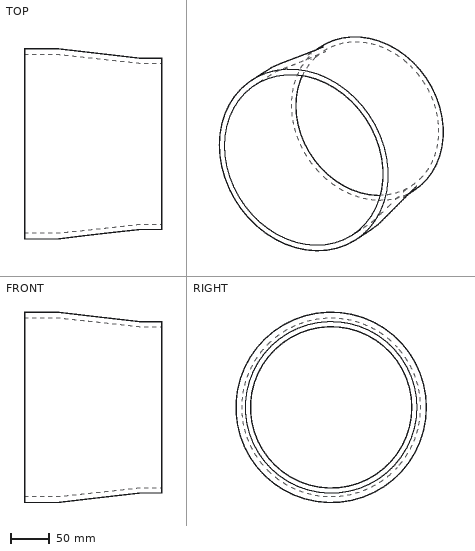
import cadquery as cq

total_length = 180.0
large_length = 43.5
small_length = 28.2

large_outer_diameter = 250.0
large_bore_diameter = 234.5
small_outer_diameter = 225.0
small_bore_diameter = 211.2

large_end = -total_length / 2
taper_start = large_end + large_length
small_end = total_length / 2
taper_end = small_end - small_length


def reducer_solid(large_diameter, small_diameter):
    """Solid of revolution: large cylinder, cone, small cylinder."""
    return (
        cq.Workplane("XY")
        .moveTo(large_end, 0)
        .lineTo(large_end, large_diameter / 2)
        .lineTo(taper_start, large_diameter / 2)
        .lineTo(taper_end, small_diameter / 2)
        .lineTo(small_end, small_diameter / 2)
        .lineTo(small_end, 0)
        .close()
        .revolve(360, (0, 0, 0), (1, 0, 0))
    )


outer_body = reducer_solid(large_outer_diameter, small_outer_diameter)
bore = reducer_solid(large_bore_diameter, small_bore_diameter)
result = outer_body.cut(bore)